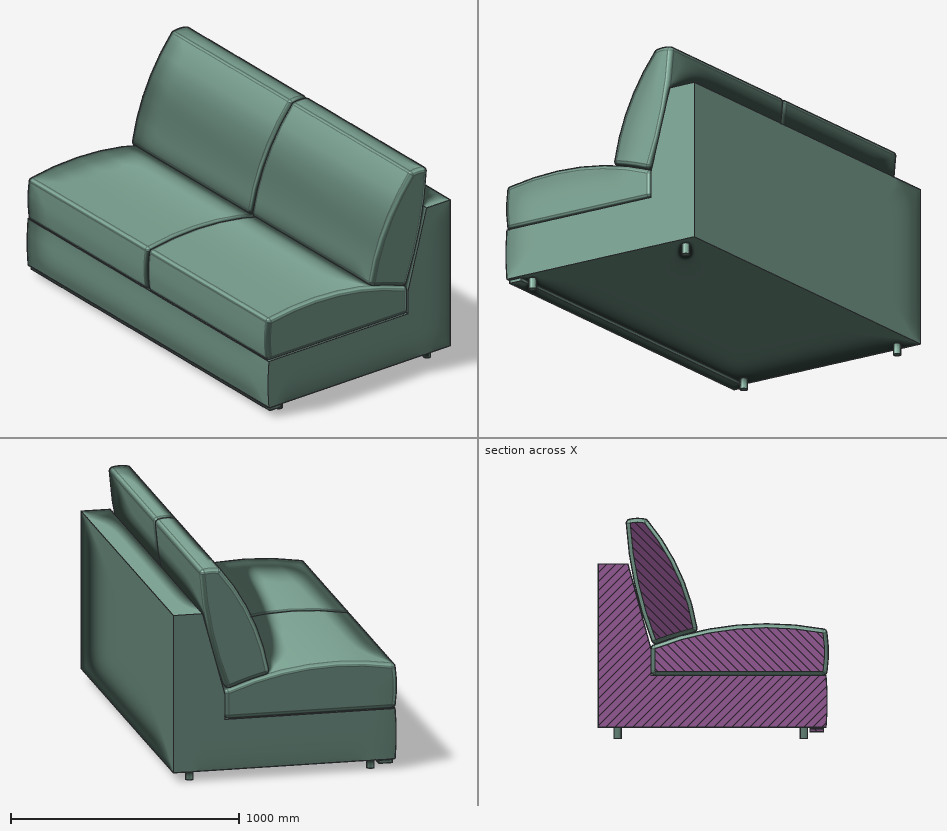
import cadquery as cq
import math


sofa_width = 1744.0
seat_count = 2
cushion_width = sofa_width / seat_count
cushion_fillet = 20.0

leg_diameter = 33.0
leg_height = 49.0
leg_end_inset = 58.0
rear_leg_y = -85.0
front_leg_y = -901.0

plinth_width = 1730.0
plinth_height = 14.0
plinth_gap = 5.0
plinth_front_y = -989.0
plinth_depth = 61.0

frame_top_z = 765.0
frame_top_depth = 130.0
seat_deck_z = 277.0
seat_rear_y = -232.0
slope_foot_z = 392.0
frame_front_y = -999.0
frame_front_bulge = 5.0

seat_crown_y = -738.0
seat_crown_z = 504.0
seat_dome_radius = 1360.0
seat_front_y = -1000.0
seat_front_bulge = 9.0

back_bottom_rear_y = -242.0
back_bottom_front_y = -436.0
back_top_rear = (-122.0, 957.0)
back_top_crown = (-171.0, 966.0)
back_top_front = (-213.0, 960.0)
back_rear_middle = (-167.0, 645.0)
back_front_middle = (-350.0, 748.0)


def extrude_centred(profile, width, centre_x):
    """Close a YZ profile and extrude it to the given width about centre_x."""
    return profile.close().extrude(width / 2, both=True).translate((centre_x, 0, 0))


def point_on_seat_top(y):
    """Return the (Y, Z) point of the domed seat top at the given Y."""
    dome_centre_z = seat_crown_z - seat_dome_radius
    return y, dome_centre_z + math.sqrt(seat_dome_radius**2 - (y - seat_crown_y) ** 2)


def make_frame():
    """L-shaped frame with a sloping backrest and a slightly bulging front."""
    front_middle = (frame_front_y - frame_front_bulge, (leg_height + seat_deck_z) / 2)
    profile = (
        cq.Workplane("YZ")
        .moveTo(0, leg_height)
        .lineTo(0, frame_top_z)
        .lineTo(-frame_top_depth, frame_top_z)
        .lineTo(seat_rear_y, slope_foot_z)
        .lineTo(seat_rear_y, seat_deck_z)
        .lineTo(frame_front_y, seat_deck_z)
        .threePointArc(front_middle, (frame_front_y, leg_height))
    )
    return extrude_centred(profile, sofa_width, 0)


def make_seat_cushion(centre_x):
    """Seat cushion with a domed top, a bulging front and rounded edges."""
    top_rear = point_on_seat_top(seat_rear_y)
    top_front = point_on_seat_top(seat_front_y)
    front_middle = (seat_front_y - seat_front_bulge, (seat_deck_z + top_front[1]) / 2)
    profile = (
        cq.Workplane("YZ")
        .moveTo(seat_rear_y, seat_deck_z)
        .lineTo(*top_rear)
        .threePointArc((seat_crown_y, seat_crown_z), top_front)
        .threePointArc(front_middle, (seat_front_y, seat_deck_z))
    )
    return extrude_centred(profile, cushion_width, centre_x).edges().fillet(cushion_fillet)


def make_back_cushion(centre_x):
    """Back cushion with bulging faces, resting on the dome of the seat cushion."""
    bottom_rear = point_on_seat_top(back_bottom_rear_y)
    bottom_middle = point_on_seat_top((back_bottom_rear_y + back_bottom_front_y) / 2)
    bottom_front = point_on_seat_top(back_bottom_front_y)
    profile = (
        cq.Workplane("YZ")
        .moveTo(*bottom_rear)
        .threePointArc(back_rear_middle, back_top_rear)
        .threePointArc(back_top_crown, back_top_front)
        .threePointArc(back_front_middle, bottom_front)
        .threePointArc(bottom_middle, bottom_rear)
    )
    return extrude_centred(profile, cushion_width, centre_x).edges().fillet(cushion_fillet)


def make_leg(x, y):
    """Round leg standing on the floor under the frame."""
    return cq.Workplane("XY").center(x, y).circle(leg_diameter / 2).extrude(leg_height)


def make_plinth():
    """Long strip just below the front of the frame, ahead of the legs."""
    strip = cq.Workplane("XY").box(plinth_width, plinth_depth, plinth_height, centered=(True, False, False))
    return strip.translate((0, plinth_front_y, leg_height - plinth_gap - plinth_height))


frame = make_frame()
plinth = make_plinth()

seat_centres = [(i - (seat_count - 1) / 2) * cushion_width for i in range(seat_count)]
seat_cushions = [make_seat_cushion(x) for x in seat_centres]
back_cushions = [make_back_cushion(x) for x in seat_centres]

leg_x = sofa_width / 2 - leg_end_inset
legs = [make_leg(x, y) for x in (-leg_x, leg_x) for y in (rear_leg_y, front_leg_y)]

bodies = [frame, plinth, *seat_cushions, *back_cushions, *legs]
result = cq.Compound.makeCompound([body.val() for body in bodies])